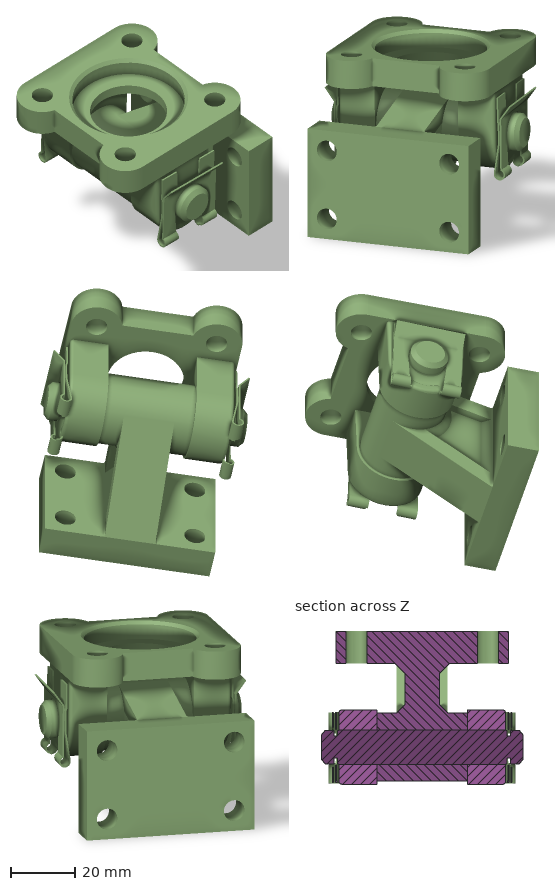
import cadquery as cq
import math

overall_length = 63.0

flange_width = 54.0
flange_top = 25.0
flange_thickness = 9.0
flange_bottom = flange_top - flange_thickness
ear_pitch = 38.0
ear_radius = (flange_width - ear_pitch) / 2
waist_depth = 42.0
bolt_hole_diameter = 6.6
recess_diameter = 35.0
recess_depth = 5.7
recess_chamfer = 1.0
bore_diameter = 24.0
lug_inner_face = 14.0
lug_outer_face = 26.0
lug_radius = 12.0
lug_root_half_width = 12.5
lug_edge_fillet = 1.0

pin_diameter = 12.0
pin_chamfer = 1.3
groove_radius = 4.5
groove_inner_wall = 26.45
groove_outer_wall = 27.4

plate_front = 26.0
plate_back = overall_length - flange_width / 2
plate_bottom = -30.5
plate_height = 35.0
plate_top = plate_bottom + plate_height
plate_hole_pitch_x = 41.0
plate_hole_pitch_z = 22.0
eye_radius = 11.0
web_thickness = 16.0
web_root_chamfer = 0.5
web_flange_thickness = 5.0
web_panel_thickness = 11.0

clip_width = 22.0
clip_thickness = 0.5
clip_tilt = 1.7
outer_leg_x = -27.8
inner_leg_x = -27.1
inner_leg_tip_x = -26.85
inner_leg_top = 14.0
inner_leg_jog_top = 6.05
inner_leg_jog_bottom = 5.4
inner_leg_bend = -1.2
curl_x = -27.2
curl_z = -10.95
curl_radius = 1.65
flare_bend = 7.2
flare_tip_x = -30.95
flare_tip_z = 11.5
leg_gap_x = (outer_leg_x + inner_leg_x) / 2
outer_slot_radius = 6.3
outer_slot_mouth_half_width = 5.0
tongue_radius = 9.5
tongue_half_width = 4.6
tongue_corner_radius = 0.6
inner_slot_half_width = 4.65
inner_slot_mouth_half_width = 4.9
inner_slot_lead_in = 1.5
pin_clearance = 0.05
pin_clearance_radius = pin_diameter / 2 + pin_clearance
leg_cutter_length = 12.6


def x_cylinder(radius, x_start, x_end):
    return cq.Workplane("YZ", origin=(x_start, 0, 0)).circle(radius).extrude(x_end - x_start)


def make_lug():
    """Tapered lug on the +X side with a round lower end and rounded outer edges."""
    return (
        cq.Workplane("YZ", origin=(lug_inner_face, 0, 0))
        .moveTo(-lug_root_half_width, flange_bottom)
        .lineTo(-lug_radius, 0)
        .threePointArc((0, -lug_radius), (lug_radius, 0))
        .lineTo(lug_root_half_width, flange_bottom)
        .close()
        .extrude(lug_outer_face - lug_inner_face)
        .faces(">X").edges("not >Z").fillet(lug_edge_fillet)
    )


def make_housing():
    flange_plane = cq.Workplane("XY", origin=(0, 0, flange_bottom))
    ears = flange_plane.rect(ear_pitch, ear_pitch, forConstruction=True).vertices()
    flange = (
        flange_plane.rect(flange_width, ear_pitch).extrude(flange_thickness)
        .union(flange_plane.rect(ear_pitch, waist_depth).extrude(flange_thickness))
        .union(ears.circle(ear_radius).extrude(flange_thickness))
        .cut(ears.circle(bolt_hole_diameter / 2).extrude(flange_thickness))
        .cut(flange_plane.circle(bore_diameter / 2).extrude(flange_thickness))
    )
    recess = (
        cq.Workplane("XY", origin=(0, 0, flange_top - recess_depth))
        .circle(recess_diameter / 2)
        .extrude(recess_depth)
    )
    recess_mouth = cq.Solid.makeCone(
        recess_diameter / 2, recess_diameter / 2 + recess_chamfer, recess_chamfer,
        pnt=cq.Vector(0, 0, flange_top - recess_chamfer),
    )
    lug = make_lug()
    pin_hole = x_cylinder(pin_diameter / 2, -lug_outer_face, lug_outer_face)
    return (
        flange.cut(recess).cut(cq.Workplane(recess_mouth))
        .union(lug).union(lug.mirror("YZ")).cut(pin_hole)
    )


def make_pin():
    half_length = overall_length / 2
    pin = x_cylinder(pin_diameter / 2, -half_length, half_length).faces("<X or >X").chamfer(pin_chamfer)
    groove = x_cylinder(pin_diameter, groove_inner_wall, groove_outer_wall).cut(
        x_cylinder(groove_radius, groove_inner_wall, groove_outer_wall)
    )
    return pin.cut(groove).cut(groove.mirror("YZ"))


def tangent_angle(side, z):
    """Direction from the eye axis to where a line from (plate_front, z) touches the eye.

    side is 1 for the upper tangent and -1 for the lower one.
    """
    to_corner = math.atan2(z, plate_front)
    return to_corner + side * math.acos(eye_radius / math.hypot(plate_front, z))


def line_z(angle, distance, y):
    """Height at y of the line whose normal from the eye axis has this angle and distance."""
    return (distance - y * math.cos(angle)) / math.sin(angle)


upper_angle = tangent_angle(1, plate_top)
lower_angle = tangent_angle(-1, plate_bottom)


def web_outline(distance, x_start):
    """Area between two lines parallel to the eye tangents, from the eye axis to the plate."""
    points = [(plate_front, line_z(angle, distance, plate_front)) for angle in (lower_angle, upper_angle)]
    feet = [(distance * math.cos(angle), distance * math.sin(angle)) for angle in (upper_angle, lower_angle)]
    return cq.Workplane("YZ", origin=(x_start, 0, 0)).polyline(points + [feet[0], (0, 0), feet[1]]).close()


def make_web_pocket():
    """Pocket on the +X side of the web, with 45 degree slopes towards the plate and the eye."""
    floor = web_panel_thickness / 2
    depth = web_thickness / 2 - floor
    plate_slope_depth = depth + web_root_chamfer
    pocket = web_outline(eye_radius - web_flange_thickness, floor).extrude(plate_slope_depth)
    plate_slope = (
        cq.Workplane("XY", origin=(0, 0, plate_bottom))
        .moveTo(floor, plate_front - plate_slope_depth)
        .line(0, plate_slope_depth)
        .line(plate_slope_depth, 0)
        .close()
        .extrude(plate_height)
    )
    eye_slope = cq.Solid.makeCone(
        eye_radius + depth, eye_radius, depth,
        pnt=cq.Vector(floor, 0, 0), dir=cq.Vector(1, 0, 0),
    )
    eye = x_cylinder(eye_radius, floor, floor + plate_slope_depth)
    return pocket.cut(plate_slope).cut(cq.Workplane(eye_slope)).cut(eye)


def make_bracket():
    plate_centre = (plate_top + plate_bottom) / 2
    plate = (
        cq.Workplane("XZ", origin=(0, plate_back, plate_centre))
        .rect(flange_width, plate_height)
        .extrude(plate_back - plate_front)
    )
    web = web_outline(eye_radius, -web_thickness / 2).extrude(web_thickness)
    bracket = plate.union(web)
    web_root = cq.selectors.BoxSelector(
        (-web_thickness, plate_front - web_root_chamfer, plate_bottom),
        (web_thickness, plate_front + web_root_chamfer, plate_top),
    )
    bracket = bracket.edges("|Z").edges(web_root).chamfer(web_root_chamfer)
    bracket = bracket.union(x_cylinder(eye_radius, -lug_inner_face, lug_inner_face))
    pocket = make_web_pocket()
    plate_holes = (
        cq.Workplane("XZ", origin=(0, plate_back, plate_centre))
        .rect(plate_hole_pitch_x, plate_hole_pitch_z, forConstruction=True)
        .vertices()
        .circle(bolt_hole_diameter / 2)
        .extrude(plate_back - plate_front)
    )
    pin_hole = x_cylinder(pin_diameter / 2, -lug_inner_face, lug_inner_face)
    return bracket.cut(pocket).cut(pocket.mirror("YZ")).cut(plate_holes).cut(pin_hole)


def clip_side(offset):
    """One side of the bent strip, offset from its middle line towards the gap between the legs.

    Returns the points of the outer leg from its flared tip down to the curl, the lowest point of
    the curl, and the points of the inner leg from the curl up to its tip.
    """
    flare_angle = math.atan2(outer_leg_x - flare_tip_x, flare_tip_z - flare_bend)
    tip = (flare_tip_x + offset * math.cos(flare_angle), flare_tip_z + offset * math.sin(flare_angle))
    upper_bend = (outer_leg_x + offset, flare_bend + offset * math.tan(flare_angle / 2))

    radius = curl_radius - offset
    leg_offset = outer_leg_x + offset - curl_x
    curl_start = (curl_x + leg_offset, curl_z + math.sqrt(radius ** 2 - leg_offset ** 2))
    curl_low = (curl_x, curl_z - radius)

    rise = inner_leg_bend - curl_z
    run = inner_leg_x - curl_x
    slant = math.asin(curl_radius / math.hypot(rise, run)) - math.atan2(run, rise)
    curl_end = (curl_x + radius * math.cos(slant), curl_z + radius * math.sin(slant))
    inner_leg = [
        (inner_leg_x - offset, inner_leg_bend - offset * math.tan(slant / 2)),
        (inner_leg_x - offset, inner_leg_jog_bottom),
        (inner_leg_tip_x - offset, inner_leg_jog_top),
        (inner_leg_tip_x - offset, inner_leg_top),
    ]
    return [tip, upper_bend, curl_start], curl_low, [curl_end, *inner_leg]


def make_clip_strip():
    outer_leg, curl_low, inner_leg = clip_side(-clip_thickness / 2)
    outer_leg_inside, curl_low_inside, inner_leg_inside = clip_side(clip_thickness / 2)
    return (
        cq.Workplane("XZ", origin=(0, clip_width / 2, 0))
        .polyline(outer_leg)
        .threePointArc(curl_low, inner_leg[0])
        .polyline(inner_leg[1:] + inner_leg_inside[::-1], includeCurrent=True)
        .threePointArc(curl_low_inside, outer_leg_inside[-1])
        .polyline(outer_leg_inside[-2::-1], includeCurrent=True)
        .close()
        .extrude(clip_width)
    )


def make_clip():
    """Clip on the -X end of the pin."""
    clip_bottom = curl_z - 2 * curl_radius
    outer_plane = cq.Workplane("YZ", origin=(leg_gap_x - leg_cutter_length, 0, 0))
    inner_plane = cq.Workplane("YZ", origin=(leg_gap_x, 0, 0))

    outer_slot = (
        outer_plane.moveTo(-outer_slot_mouth_half_width, clip_bottom)
        .lineTo(-outer_slot_radius, 0)
        .threePointArc((0, outer_slot_radius), (outer_slot_radius, 0))
        .lineTo(outer_slot_mouth_half_width, clip_bottom)
        .close()
        .extrude(leg_cutter_length)
    )
    tongue_side_end = -math.sqrt(tongue_radius ** 2 - tongue_half_width ** 2)
    tongue_opening = (
        inner_plane.moveTo(-tongue_half_width, clip_bottom)
        .lineTo(-tongue_half_width, tongue_side_end)
        .threePointArc((0, -tongue_radius), (tongue_half_width, tongue_side_end))
        .lineTo(tongue_half_width, clip_bottom)
        .close()
        .extrude(leg_cutter_length)
        .edges("|X").edges(">Z").fillet(tongue_corner_radius)
    )
    lead_in_end = inner_leg_top - inner_slot_lead_in
    inner_slot = (
        inner_plane.polyline([
            (-inner_slot_half_width, inner_leg_bend),
            (inner_slot_half_width, inner_leg_bend),
            (inner_slot_half_width, lead_in_end),
            (inner_slot_mouth_half_width, inner_leg_top),
            (-inner_slot_mouth_half_width, inner_leg_top),
            (-inner_slot_half_width, lead_in_end),
        ])
        .close()
        .extrude(leg_cutter_length)
    )
    pin_opening = (
        inner_plane.moveTo(-pin_clearance_radius, inner_leg_bend)
        .threePointArc((0, -pin_clearance_radius), (pin_clearance_radius, inner_leg_bend))
        .close()
        .extrude(leg_cutter_length)
    )
    clip = make_clip_strip().cut(outer_slot).cut(tongue_opening).cut(inner_slot).cut(pin_opening)
    return clip.rotate((0, 0, 0), (1, 0, 0), -clip_tilt)


left_clip = make_clip()
clips = [left_clip, left_clip.mirror("YZ")]
pin = make_pin()
bracket = make_bracket()
housing = make_housing()
for clip in clips:
    housing = housing.cut(clip)

result = cq.Compound.makeCompound(
    [housing.val(), bracket.val(), pin.val(), *[clip.val() for clip in clips]]
)